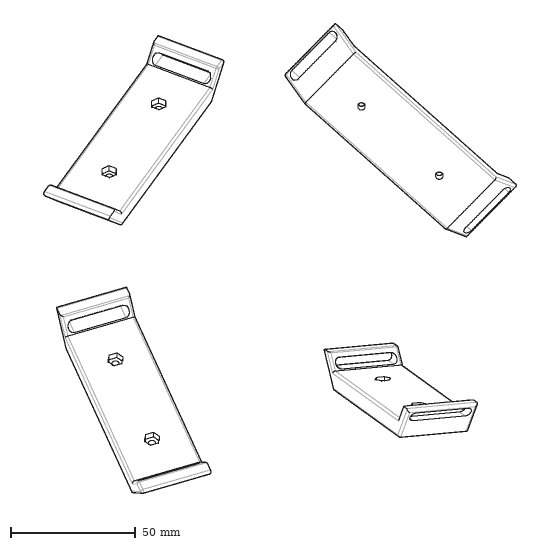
import cadquery as cq
import math

WIDTH = 30.0
LENGTH = 100.3
HEIGHT = 14.6

FLOOR_HEIGHT = 8.0
FLOOR_LENGTH = 78.2
END_ANGLE = 50.0
EDGE_RADIUS = 1.0

SLOT_LENGTH = 26.1
SLOT_HEIGHT = 4.0
SLOT_CENTER_Z = 10.5

SCREW_SPACING = 42.9
SCREW_DIAMETER = 3.0
NUT_ACROSS_FLATS = 5.7
NUT_DEPTH = 3.0

slope = math.tan(math.radians(END_ANGLE))
tip_loss = EDGE_RADIUS / math.tan(math.radians(END_ANGLE / 2)) - EDGE_RADIUS
tip_y = LENGTH / 2 + tip_loss
bottom_y = tip_y - HEIGHT / slope
floor_y = FLOOR_LENGTH / 2
lip_y = floor_y + (HEIGHT - FLOOR_HEIGHT) / slope


def make_body():
    """Extrude the cradle profile across the width, centred on X."""
    profile = [
        (-bottom_y, 0),
        (bottom_y, 0),
        (tip_y, HEIGHT),
        (lip_y, HEIGHT),
        (floor_y, FLOOR_HEIGHT),
        (-floor_y, FLOOR_HEIGHT),
        (-lip_y, HEIGHT),
        (-tip_y, HEIGHT),
    ]
    return cq.Workplane("YZ").polyline(profile).close().extrude(WIDTH / 2, both=True)


def round_edges(body):
    """Round the tips, the lips and the long edges; the side ends of the top faces stay sharp
    except at the +X, +Y corner."""
    side_x = WIDTH / 2
    top_mid_y = (tip_y + lip_y) / 2
    slope_mid_y = (floor_y + lip_y) / 2
    slope_mid_z = (FLOOR_HEIGHT + HEIGHT) / 2
    outer_mid_y = (bottom_y + tip_y) / 2

    edge_middles = [(side_x, top_mid_y, HEIGHT)]
    for end in (-1, 1):
        edge_middles.append((0, end * tip_y, HEIGHT))
        edge_middles.append((0, end * lip_y, HEIGHT))
    for side in (-side_x, side_x):
        edge_middles.append((side, 0, 0))
        edge_middles.append((side, 0, FLOOR_HEIGHT))
        for end in (-1, 1):
            edge_middles.append((side, end * slope_mid_y, slope_mid_z))
            edge_middles.append((side, end * outer_mid_y, HEIGHT / 2))

    edges = body.edges(cq.NearestToPointSelector(edge_middles[0]))
    for middle in edge_middles[1:]:
        edges = edges.add(body.edges(cq.NearestToPointSelector(middle)))
    return edges.fillet(EDGE_RADIUS)


def make_strap_slots():
    """One horizontal bar along Y that pierces both sloping ends above the floor."""
    return (
        cq.Workplane("XZ")
        .center(0, SLOT_CENTER_Z)
        .slot2D(SLOT_LENGTH, SLOT_HEIGHT)
        .extrude(LENGTH, both=True)
    )


def make_screw_cuts():
    """Through holes and nut pockets, with two flats of each pocket facing along Y."""
    centers = [(0, -SCREW_SPACING / 2), (0, SCREW_SPACING / 2)]
    nut_across_corners = NUT_ACROSS_FLATS / math.cos(math.pi / 6)
    holes = cq.Workplane("XY").pushPoints(centers).circle(SCREW_DIAMETER / 2).extrude(FLOOR_HEIGHT)
    pockets = (
        cq.Workplane("XY", origin=(0, 0, FLOOR_HEIGHT))
        .pushPoints(centers)
        .polygon(6, nut_across_corners)
        .extrude(-NUT_DEPTH)
    )
    return holes.union(pockets)


result = round_edges(make_body()).cut(make_strap_slots()).cut(make_screw_cuts())